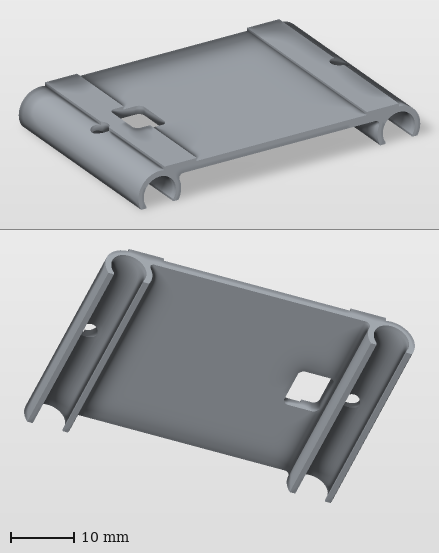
import cadquery as cq

length = 36.0
width = 52.5
height = 6.5

pad_height = 0.5
plate_thickness = 1.45
plate_top = height - pad_height
plate_bottom = plate_top - plate_thickness
pad_width = 6.0
front_pad_center = -18.35
rear_pad_center = 19.25

clip_outer_radius = 4.0
clip_inner_radius = 3.0
clip_mouth_width = 5.05
clip_offset = width / 2 - clip_outer_radius
clip_axis_height = plate_top - clip_outer_radius
root_fillet_radius = 0.75

hole_diameter = 3.0
window_length = 8.0
window_width = 6.0
window_center = -15.1
window_corner_radius = 1.0


def bar(center_y, bar_width, bottom, top):
    """Rectangular bar running the full length in X."""
    return (
        cq.Workplane("XY", origin=(0, center_y, bottom))
        .rect(length, bar_width)
        .extrude(top - bottom)
    )


def rod(center_y, radius):
    """Full-length cylinder on a clip axis."""
    return (
        cq.Workplane("YZ", origin=(0, center_y, clip_axis_height))
        .circle(radius)
        .extrude(length / 2, both=True)
    )


clip_centers = (-clip_offset, clip_offset)

plate_front = front_pad_center - pad_width / 2
plate_rear = clip_offset
plate_center = (plate_front + plate_rear) / 2
body = bar(plate_center, plate_rear - plate_front, plate_bottom, plate_top)
for center in clip_centers:
    body = body.union(rod(center, clip_outer_radius))

clip_root_height = plate_bottom - clip_axis_height
clip_root_reach = (clip_outer_radius**2 - clip_root_height**2) ** 0.5
for side in (-1, 1):
    root = (0, side * (clip_offset - clip_root_reach), plate_bottom)
    body = body.edges(cq.NearestToPointSelector(root)).fillet(root_fillet_radius)

for center in (front_pad_center, rear_pad_center):
    body = body.union(bar(center, pad_width, plate_bottom, height))

lowest = clip_axis_height - clip_outer_radius
for center in clip_centers:
    body = body.cut(rod(center, clip_inner_radius))
    body = body.cut(bar(center, clip_mouth_width, lowest, clip_axis_height))
body = body.cut(bar(0, width, lowest, 0))

holes = (
    cq.Workplane("XY", origin=(0, 0, clip_axis_height))
    .pushPoints([(0, center) for center in clip_centers])
    .circle(hole_diameter / 2)
    .extrude(height)
)

window = (
    cq.Workplane("XY", origin=(0, window_center, 0))
    .rect(window_length, window_width)
    .extrude(height)
    .edges("|Z")
    .fillet(window_corner_radius)
)

result = body.cut(holes).cut(window)